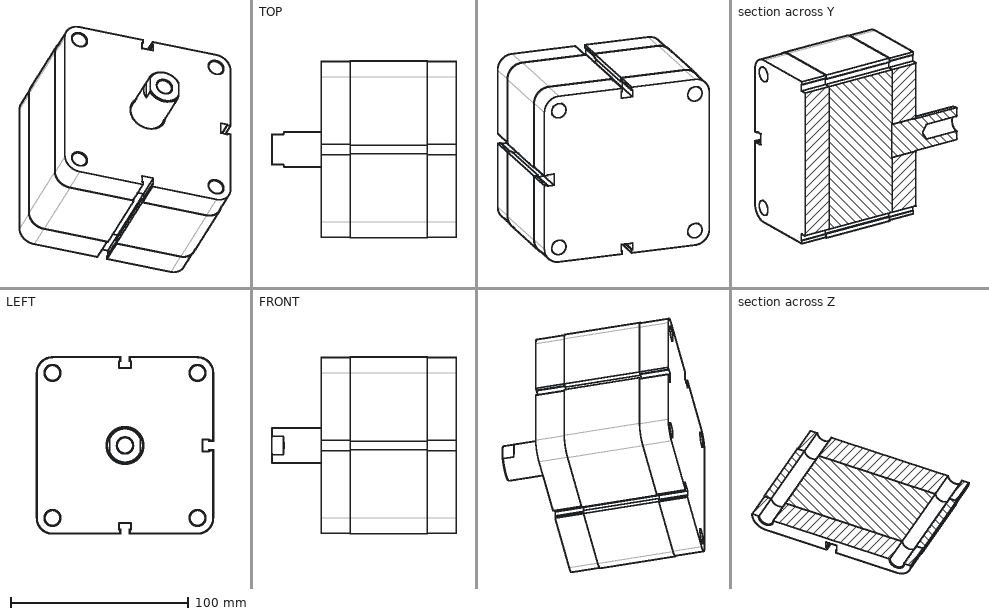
import cadquery as cq
import math


overall_length = 104.5

cover_length = 16.5
barrel_length = 43.5
barrel_width = 100.0
cover_step = 0.3
cover_width = barrel_width - 2 * cover_step
barrel_start = cover_length
rear_cover_start = barrel_start + barrel_length

tie_hole_offset = 41.0
tie_hole_diameter = 8.6
tie_hole_chamfer = 0.4
barrel_corner_radius = barrel_width / 2 - tie_hole_offset
cover_corner_radius = cover_width / 2 - tie_hole_offset

slot_width = 6.7
slot_floor = 43.9
barrel_slot_shoulder = 47.4
cover_slot_shoulder = 47.8
barrel_slot_mouth = 4.9
cover_slot_mouth = 5.7
slot_angles = (-90, 0, 90)
slot_overshoot = 1.0

rod_diameter = 20.0
rod_projection = overall_length - 2 * cover_length - barrel_length
rod_chamfer = 0.5
rod_bore_chamfer = 0.6
flat_spacing = 17.0
flat_length = 6.7
flat_run_out = 0.4
rod_hole_diameter = 8.8
rod_hole_chamfer = 0.4
rod_hole_depth = 20.9
drill_point_angle = 118


def slot_cutter(start, length, shoulder, mouth_width):
    """T-shaped bar for one slot, opening toward -Y."""
    outside = barrel_width / 2 + slot_overshoot
    pocket = cq.Workplane("XY", origin=(start, -shoulder, 0)).box(
        length, shoulder - slot_floor, slot_width, centered=(False, False, True)
    )
    mouth = cq.Workplane("XY", origin=(start, -outside, 0)).box(
        length, outside - slot_floor, mouth_width, centered=(False, False, True)
    )
    return pocket.union(mouth)


def housing_block(start, length, width, corner_radius, slot_shoulder, slot_mouth):
    """Square block with rounded corners, tie holes and sensor slots."""
    block = (
        cq.Workplane("YZ", origin=(start, 0, 0))
        .rect(width, width)
        .extrude(length)
        .edges("|X")
        .fillet(corner_radius)
    )
    tie_holes = (
        cq.Workplane("YZ", origin=(start, 0, 0))
        .rect(2 * tie_hole_offset, 2 * tie_hole_offset, forConstruction=True)
        .vertices()
        .circle(tie_hole_diameter / 2)
        .extrude(length)
    )
    block = block.cut(tie_holes)
    slot = slot_cutter(start, length, slot_shoulder, slot_mouth)
    for angle in slot_angles:
        block = block.cut(slot.rotate((0, 0, 0), (1, 0, 0), angle))
    return block


def cone(x, large_diameter, small_diameter, length):
    """Cone along +X that narrows away from its start."""
    return cq.Workplane(
        cq.Solid.makeCone(
            large_diameter / 2, small_diameter / 2, length, cq.Vector(x, 0, 0), cq.Vector(1, 0, 0)
        )
    )


def make_cover(start):
    return housing_block(
        start, cover_length, cover_width, cover_corner_radius, cover_slot_shoulder, cover_slot_mouth
    )


def make_barrel():
    return housing_block(
        barrel_start, barrel_length, barrel_width, barrel_corner_radius,
        barrel_slot_shoulder, barrel_slot_mouth,
    )


def make_front_cover():
    """Cover with a rod bore and chamfered tie hole mouths."""
    cover = make_cover(0)
    rod_bore = cq.Workplane("YZ").circle(rod_diameter / 2).extrude(cover_length)
    lead_in = cone(0, rod_diameter + 2 * rod_bore_chamfer, rod_diameter, rod_bore_chamfer)
    cover = cover.cut(rod_bore).cut(lead_in)
    mouth = cone(0, tie_hole_diameter + 2 * tie_hole_chamfer, tie_hole_diameter, tie_hole_chamfer)
    for y in (-tie_hole_offset, tie_hole_offset):
        for z in (-tie_hole_offset, tie_hole_offset):
            cover = cover.cut(mouth.translate((0, y, z)))
    return cover


def make_rod():
    """Piston rod that passes through the front cover and ends at the barrel."""
    tip = -rod_projection
    rod = (
        cq.Workplane("YZ", origin=(tip, 0, 0))
        .circle(rod_diameter / 2)
        .extrude(rod_projection + cover_length)
        .faces("<X")
        .chamfer(rod_chamfer)
    )

    flat = flat_spacing / 2
    surface = rod_diameter / 2
    flat_cutter = (
        cq.Workplane("XY")
        .polyline([
            (tip, flat),
            (tip + flat_length, flat),
            (tip + flat_length + flat_run_out, surface),
            (tip, surface),
        ])
        .close()
        .extrude(surface, both=True)
    )
    rod = rod.cut(flat_cutter).cut(flat_cutter.mirror("XZ"))

    point_length = rod_hole_diameter / 2 / math.tan(math.radians(drill_point_angle / 2))
    hole = cq.Workplane("YZ", origin=(tip, 0, 0)).circle(rod_hole_diameter / 2).extrude(rod_hole_depth)
    point = cone(tip + rod_hole_depth, rod_hole_diameter, 0, point_length)
    mouth = cone(tip, rod_hole_diameter + 2 * rod_hole_chamfer, rod_hole_diameter, rod_hole_chamfer)
    return rod.cut(hole).cut(point).cut(mouth)


front_cover = make_front_cover()
barrel = make_barrel()
rear_cover = make_cover(rear_cover_start)
rod = make_rod()

result = cq.Compound.makeCompound([front_cover.val(), barrel.val(), rear_cover.val(), rod.val()])